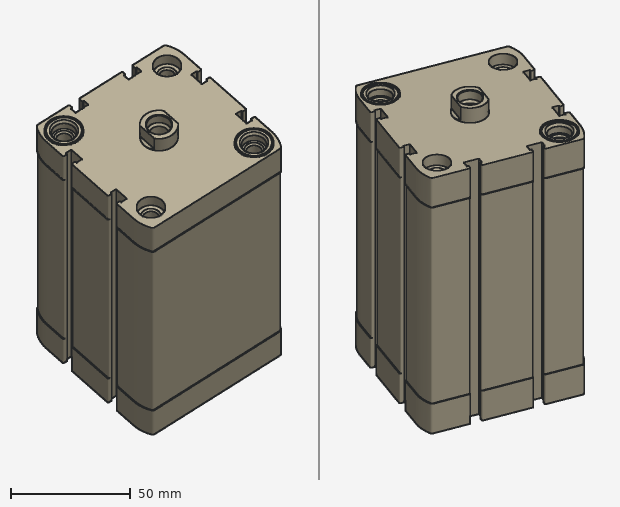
import cadquery as cq
import math

total_height = 136.5
housing_width = 75.5
rod_projection = 7.5
housing_height = total_height - rod_projection
cap_height = 15.0
tube_inset = 0.4
half_width = housing_width / 2

corner_radius = 17.7
corner_arc_run = 9.5
corner_edge_fillet = 1.2

slot_offset = 14.5
slot_neck_width = 5.3
slot_floor_width = 7.0
slot_neck_depth = 2.0
slot_depth = 5.0
slot_lip_radius = 0.4

screw_offset = 28.1
screw_hole_diameter = 6.7
screw_countersink_diameter = 8.3
counterbore_diameter = 12.0
counterbore_depth = 5.5

head_recess_diameter = 16.4
head_diameter = 15.5
head_chamfer = 0.4
head_gap_depth = 1.0
socket_mouth_diameter = 12.0
socket_diameter = 10.5
socket_mouth_depth = 1.4
socket_depth = 4.6

rod_diameter = 16.0
rod_length = 37.5
rod_bottom = total_height - rod_length
rod_flat_width = 13.0
rod_seat_height = 1.0
rod_seat_drop = 0.8

rod_mouth_diameter = 10.5
rod_mouth_depth = 4.6
rod_mouth_chamfer = 0.34
rod_bore_diameter = 8.3
rod_bore_depth = 20.0
drill_point_angle = 118.0


def revolved(profile):
    """Solid of revolution about Z from (radius, height) points."""
    return cq.Workplane("XZ").polyline(profile).close().revolve(360, (0, 0, 0), (0, 1, 0))


def section_prism(inset, bottom, height):
    """Square prism with wide corner arcs tangent to its front and back faces."""
    half = half_width - inset
    arc_start = half_width - corner_arc_run
    arc_radius = corner_radius - inset
    arc_angle = math.asin((half - arc_start) / arc_radius)
    arc_center_y = half - arc_radius
    arc_end_y = arc_center_y + arc_radius * math.cos(arc_angle)
    mid_x = arc_start + arc_radius * math.sin(arc_angle / 2)
    mid_y = arc_center_y + arc_radius * math.cos(arc_angle / 2)
    prism = (
        cq.Workplane("XY", origin=(0, 0, bottom))
        .moveTo(-arc_start, half)
        .lineTo(arc_start, half)
        .threePointArc((mid_x, mid_y), (half, arc_end_y))
        .lineTo(half, -arc_end_y)
        .threePointArc((mid_x, -mid_y), (arc_start, -half))
        .lineTo(-arc_start, -half)
        .threePointArc((-mid_x, -mid_y), (-half, -arc_end_y))
        .lineTo(-half, arc_end_y)
        .threePointArc((-mid_x, mid_y), (-arc_start, half))
        .close()
        .extrude(height)
    )
    return prism.edges("|Z").edges("<X or >X").fillet(corner_edge_fillet - inset)


def slot_cutter(inset, angle, offset):
    """T-shaped slot with rounded lips, along Z in the face whose outward normal is at the given angle."""
    face_x = half_width - inset
    neck_half = slot_neck_width / 2
    floor_half = slot_floor_width / 2
    neck_x = half_width - slot_neck_depth
    floor_x = half_width - slot_depth
    lip_x = face_x - slot_lip_radius
    lip_half = neck_half + slot_lip_radius
    lip_bulge = slot_lip_radius * (1 - math.sqrt(0.5))
    bulge_x = face_x - lip_bulge
    bulge_half = neck_half + lip_bulge
    cutter = (
        cq.Workplane("XY")
        .moveTo(face_x, offset - lip_half)
        .threePointArc((bulge_x, offset - bulge_half), (lip_x, offset - neck_half))
        .lineTo(neck_x, offset - neck_half)
        .lineTo(neck_x, offset - floor_half)
        .lineTo(floor_x, offset - floor_half)
        .lineTo(floor_x, offset + floor_half)
        .lineTo(neck_x, offset + floor_half)
        .lineTo(neck_x, offset + neck_half)
        .lineTo(lip_x, offset + neck_half)
        .threePointArc((bulge_x, offset + bulge_half), (face_x, offset + lip_half))
        .close()
        .extrude(housing_height)
    )
    return cutter.rotate((0, 0, 0), (0, 0, 1), angle)


def slotted_section(inset, bottom, height):
    """Length of the square section with two slots in the front, left and back faces."""
    section = section_prism(inset, bottom, height)
    for angle in (90, 180, 270):
        for side in (-1, 1):
            section = section.cut(slot_cutter(inset, angle, side * slot_offset))
    return section


def screw_hole(floor_depth):
    """Hole from the bottom of the housing, countersunk at a floor this far below the top of the housing."""
    hole_radius = screw_hole_diameter / 2
    sink_radius = screw_countersink_diameter / 2
    floor = housing_height - floor_depth
    return revolved(
        [
            (0, 0),
            (hole_radius, 0),
            (hole_radius, floor - (sink_radius - hole_radius)),
            (sink_radius, floor),
            (0, floor),
        ]
    )


def counterbore():
    """Round recess at the top of a plain screw hole."""
    floor = cq.Workplane("XY", origin=(0, 0, housing_height - counterbore_depth))
    return floor.circle(counterbore_diameter / 2).extrude(counterbore_depth)


def head_socket():
    """Round socket with a conical mouth."""
    mouth_radius = socket_mouth_diameter / 2
    radius = socket_diameter / 2
    return revolved(
        [
            (0, housing_height - socket_depth),
            (radius, housing_height - socket_depth),
            (radius, housing_height - socket_mouth_depth),
            (mouth_radius, housing_height),
            (0, housing_height),
        ]
    )


def head_groove():
    """Ring-shaped gap around a screw head, widened by the chamfer on the head."""
    recess_radius = head_recess_diameter / 2
    head_radius = head_diameter / 2
    gap_floor = housing_height - head_gap_depth
    return revolved(
        [
            (head_radius - head_chamfer, housing_height),
            (head_radius, housing_height - head_chamfer),
            (head_radius, gap_floor),
            (recess_radius, gap_floor),
            (recess_radius, housing_height),
        ]
    )


def rod_cylinder():
    """Full cylinder of the rod, which is also the hole it sits in."""
    return cq.Workplane("XY", origin=(0, 0, rod_bottom)).circle(rod_diameter / 2).extrude(rod_length)


def make_housing():
    """Tube between two caps, with four corner screw holes and the hole for the rod."""
    body = slotted_section(tube_inset, cap_height, housing_height - 2 * cap_height)
    for bottom in (0, housing_height - cap_height):
        body = body.union(slotted_section(0, bottom, cap_height))
    for side_x in (-1, 1):
        for side_y in (-1, 1):
            place = (side_x * screw_offset, side_y * screw_offset, 0)
            if side_x == side_y:
                body = body.cut(head_groove().translate(place))
                body = body.cut(head_socket().translate(place))
                body = body.cut(screw_hole(socket_depth).translate(place))
            else:
                body = body.cut(counterbore().translate(place))
                body = body.cut(screw_hole(counterbore_depth).translate(place))
    return body.cut(rod_cylinder())


def wrench_flat(side):
    """Cutter for one flat, with a seat that slopes down towards the outside of the rod."""
    flat_y = rod_flat_width / 2
    outer_y = rod_diameter / 2
    flat_bottom = housing_height + rod_seat_height
    return (
        cq.Workplane("YZ")
        .moveTo(side * flat_y, total_height)
        .lineTo(side * flat_y, flat_bottom)
        .lineTo(side * outer_y, flat_bottom - rod_seat_drop)
        .lineTo(side * outer_y, total_height)
        .close()
        .extrude(rod_diameter / 2, both=True)
    )


def rod_hole():
    """Stepped blind hole with a chamfered mouth and a drill point."""
    mouth_radius = rod_mouth_diameter / 2
    bore_radius = rod_bore_diameter / 2
    mouth_floor = total_height - rod_mouth_depth
    bore_floor = total_height - rod_bore_depth
    point_length = bore_radius / math.tan(math.radians(drill_point_angle / 2))
    return revolved(
        [
            (0, total_height),
            (mouth_radius + rod_mouth_chamfer, total_height),
            (mouth_radius, total_height - rod_mouth_chamfer),
            (mouth_radius, mouth_floor),
            (bore_radius, mouth_floor - (mouth_radius - bore_radius)),
            (bore_radius, bore_floor),
            (0, bore_floor - point_length),
        ]
    )


def make_rod():
    """Piston rod with two wrench flats and a smooth-bored end hole."""
    rod = rod_cylinder()
    for side in (-1, 1):
        rod = rod.cut(wrench_flat(side))
    return rod.cut(rod_hole())


housing = make_housing()
rod = make_rod()
result = cq.Compound.makeCompound([housing.val(), rod.val()])